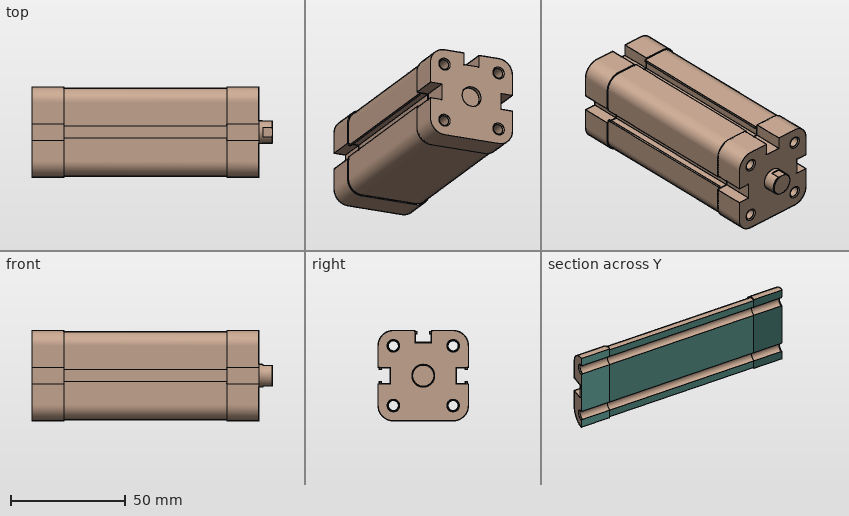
import cadquery as cq

OVERALL_LENGTH = 105.0
CAP_LENGTH = 14.0
ROD_PROTRUSION = 6.0
BARREL_LENGTH = OVERALL_LENGTH - ROD_PROTRUSION - 2 * CAP_LENGTH
BARREL_START = CAP_LENGTH
FRONT_CAP_START = BARREL_START + BARREL_LENGTH

CAP_WIDTH = 39.5
CAP_CORNER_RADIUS = 6.7
BARREL_INSET = 0.5
BARREL_WIDTH = CAP_WIDTH - 2 * BARREL_INSET
BARREL_CORNER_RADIUS = CAP_CORNER_RADIUS - BARREL_INSET

SLOT_ANGLES = (0, 90, 270)
CAP_SLOT_WIDTH = 7.2
CAP_SLOT_FLOOR = 14.3
BARREL_SLOT_WIDTH = 6.7
BARREL_SLOT_FLOOR = 14.6
LIP_GAP = 5.2
LIP_THICKNESS = 0.9

BOLT_OFFSET = CAP_WIDTH / 2 - CAP_CORNER_RADIUS
BOLT_HOLE_DIAMETER = 4.4
BOLT_HOLE_CHAMFER = 0.5

RECESS_DIAMETER = 9.0
RECESS_DEPTH = 2.0

ROD_DIAMETER = 10.0
TIP_DIAMETER = 9.9
TIP_LENGTH = 4.4
TIP_TAPER_LENGTH = 0.3
ACROSS_FLATS = 9.0
FLAT_LENGTH = 4.2
TIP_CHAMFER = 0.3


def cylinder_along_x(start, length, diameter):
    """Solid cylinder on the X axis."""
    return cq.Workplane("YZ", origin=(start, 0, 0)).circle(diameter / 2).extrude(length)


def rounded_block(start, length, width, corner_radius):
    """Square bar along X with its four long edges rounded."""
    block = cq.Workplane("YZ", origin=(start, 0, 0)).rect(width, width).extrude(length)
    return block.edges("|X").fillet(corner_radius)


def cut_channels(body, start, length, width, bottom, top):
    """Cut a rectangular channel between two heights on each slotted side."""
    height = top - bottom
    channel = (
        cq.Workplane("YZ", origin=(start, 0, 0))
        .center(0, bottom + height / 2)
        .rect(width, height)
        .extrude(length)
    )
    for angle in SLOT_ANGLES:
        body = body.cut(channel.rotate((0, 0, 0), (1, 0, 0), angle))
    return body


def cut_bolt_holes(body, start, length):
    """Drill the four bolt holes through the full length of a body."""
    drills = (
        cq.Workplane("YZ", origin=(start, 0, 0))
        .rect(2 * BOLT_OFFSET, 2 * BOLT_OFFSET, forConstruction=True)
        .vertices()
        .circle(BOLT_HOLE_DIAMETER / 2)
        .extrude(length)
    )
    return body.cut(drills)


def end_cap(start, outer_face):
    """Slotted end cap with bolt holes chamfered on its outer face."""
    cap = rounded_block(start, CAP_LENGTH, CAP_WIDTH, CAP_CORNER_RADIUS)
    cap = cut_channels(cap, start, CAP_LENGTH, CAP_SLOT_WIDTH, CAP_SLOT_FLOOR, CAP_WIDTH / 2)
    cap = cut_bolt_holes(cap, start, CAP_LENGTH)
    bolt_rims = cap.faces(outer_face).edges(cq.selectors.RadiusNthSelector(0))
    return cap.newObject(bolt_rims.vals()).chamfer(BOLT_HOLE_CHAMFER)


def make_rear_cap():
    """End cap with a blind centre recess."""
    cap = end_cap(0, "<X")
    return cap.cut(cylinder_along_x(0, RECESS_DEPTH, RECESS_DIAMETER))


def make_front_cap():
    """End cap bored through for the piston rod."""
    cap = end_cap(FRONT_CAP_START, ">X")
    return cap.cut(cylinder_along_x(FRONT_CAP_START, CAP_LENGTH, ROD_DIAMETER))


def make_barrel():
    """Profile bar whose slots narrow to a lipped opening."""
    lip_bottom = BARREL_WIDTH / 2 - LIP_THICKNESS
    barrel = rounded_block(BARREL_START, BARREL_LENGTH, BARREL_WIDTH, BARREL_CORNER_RADIUS)
    barrel = cut_channels(
        barrel, BARREL_START, BARREL_LENGTH, BARREL_SLOT_WIDTH, BARREL_SLOT_FLOOR, lip_bottom
    )
    barrel = cut_channels(barrel, BARREL_START, BARREL_LENGTH, LIP_GAP, lip_bottom, BARREL_WIDTH / 2)
    return cut_bolt_holes(barrel, BARREL_START, BARREL_LENGTH)


def make_piston_rod():
    """Rod through the front cap, tapering to a chamfered tip with flats above and below."""
    shoulder_x = OVERALL_LENGTH - TIP_LENGTH
    profile = (
        cq.Workplane("XY")
        .moveTo(FRONT_CAP_START, 0)
        .lineTo(FRONT_CAP_START, ROD_DIAMETER / 2)
        .lineTo(shoulder_x - TIP_TAPER_LENGTH, ROD_DIAMETER / 2)
        .lineTo(shoulder_x, TIP_DIAMETER / 2)
        .lineTo(OVERALL_LENGTH - TIP_CHAMFER, TIP_DIAMETER / 2)
        .lineTo(OVERALL_LENGTH, TIP_DIAMETER / 2 - TIP_CHAMFER)
        .lineTo(OVERALL_LENGTH, 0)
        .close()
    )
    rod = profile.revolve(360, (0, 0, 0), (1, 0, 0))
    flat_depth = (ROD_DIAMETER - ACROSS_FLATS) / 2
    flat_centre_x = OVERALL_LENGTH - FLAT_LENGTH / 2
    for side in (1, -1):
        flat_centre_z = side * (ACROSS_FLATS + flat_depth) / 2
        flat_cut = cq.Workplane("XY").box(FLAT_LENGTH, ROD_DIAMETER, flat_depth)
        rod = rod.cut(flat_cut.translate((flat_centre_x, 0, flat_centre_z)))
    return rod


rear_cap = make_rear_cap()
barrel = make_barrel()
front_cap = make_front_cap()
piston_rod = make_piston_rod()

result = cq.Compound.makeCompound(
    [rear_cap.val(), barrel.val(), front_cap.val(), piston_rod.val()]
)